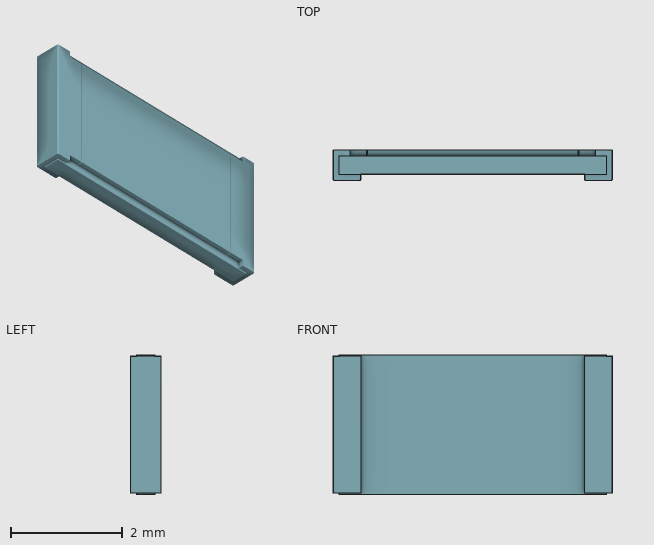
import cadquery as cq

length = 5.0
thickness = 0.55
height = 2.5

cap_wall = 0.11
cap_height = 2.45
front_flange = 0.5
back_flange = 0.3
cap_corner_radius = 0.03

layer_height = 2.2
pad_spacing = 3.8
coating_gap = 0.015

plate_length = length - 2 * cap_wall
plate_thickness = thickness - 2 * cap_wall

back_face = thickness / 2
front_face = -back_face
plate_back = back_face - cap_wall
plate_front = front_face + cap_wall
coating_length = pad_spacing - 2 * coating_gap
layer_center = (plate_back + back_face) / 2


def make_plate():
    """Ceramic plate, a little taller than the end caps."""
    return cq.Workplane("XY").box(plate_length, plate_thickness, height)


def make_cap():
    """C-shaped cap on the -X end, with rounded outer corners."""
    outer_end = -length / 2
    inner_end = -plate_length / 2
    outline = [
        (outer_end, front_face),
        (outer_end + front_flange, front_face),
        (outer_end + front_flange, plate_front),
        (inner_end, plate_front),
        (inner_end, plate_back),
        (outer_end + back_flange, plate_back),
        (outer_end + back_flange, back_face),
        (outer_end, back_face),
    ]
    cap = cq.Workplane("XY").polyline(outline).close().extrude(cap_height / 2, both=True)
    cap = cap.edges("|Z and <X").fillet(cap_corner_radius)
    return cap.edges("|Z and >X").edges("<Y").fillet(cap_corner_radius)


def make_conductor():
    """Contact pad filling the back face from the -X cap almost to the coating."""
    start = -length / 2 + back_flange
    end = -pad_spacing / 2
    pad = cq.Workplane("XY").box(end - start, cap_wall, layer_height)
    return pad.translate(((start + end) / 2, layer_center, 0))


def make_coating():
    """Protective coating over the middle of the back face, clear of both pads."""
    coating = cq.Workplane("XY").box(coating_length, cap_wall, layer_height)
    return coating.translate((0, layer_center, 0))


result = make_plate().union(make_coating())
for end_piece in (make_cap(), make_conductor()):
    result = result.union(end_piece).union(end_piece.mirror("YZ"))